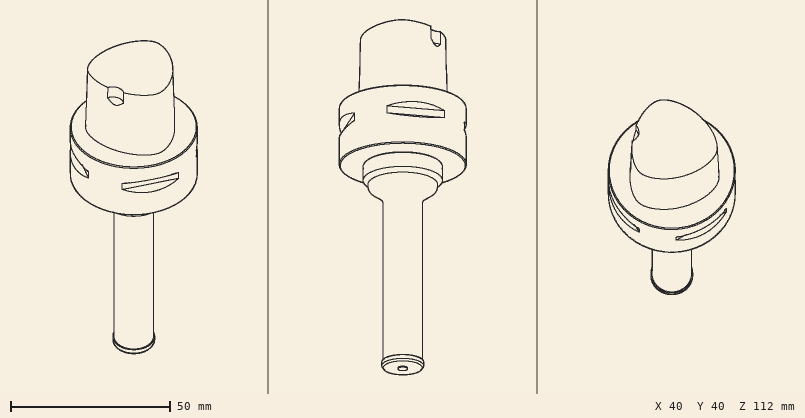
import cadquery as cq
import math

total_height = 112.0
flange_top = 88.0
flange_bottom = 68.4
taper_start = 90.7

shank_base_radius = 14.0
shank_top_radius = 13.4
lobe_height = 1.1
outline_points = 48

notch_radius = 3.5
notch_depth_y = -10.8
notch_floor = 107.9
notch_axis_y = notch_depth_y - notch_radius

flange_radius = 40.0 / 2
flange_chamfer = 0.3
slot_count = 4
slot_floor_distance = 17.7
slot_floor_height = 2.4
slot_flare_angle = 30.0
slot_center = 80.0
slot_length = 2 * flange_radius

collar_radius = 25.0 / 2
collar_bottom = 63.0
collar_chamfer = 0.3
neck_radius = 22.0 / 2
neck_top = 62.0
neck_bottom = 61.4
shoulder_radius = 1.7
fillet_radius = 3.4
cone_angle = 55.0
shaft_radius = 12.4 / 2
tip_radius = 6.6
tip_top = 2.4
tip_chamfer_top = 1.0
tip_bottom = 0.3
tip_chamfer = 0.5
nub_radius = 3.1 / 2


def lobed_outline(mean_radius, height):
    """Closed three-lobed curve with one lobe pointing along +Y."""

    def point(index):
        angle = 2 * math.pi * index / outline_points
        across = (mean_radius * math.sin(angle)
                  - 2 * lobe_height * math.sin(2 * angle) - lobe_height * math.sin(4 * angle))
        along = (mean_radius * math.cos(angle)
                 + 2 * lobe_height * math.cos(2 * angle) - lobe_height * math.cos(4 * angle))
        return across, along

    points = [point(index) for index in range(outline_points)]
    return cq.Workplane("XY", origin=(0, 0, height)).spline(points, periodic=True).close()


def make_shank():
    """Straight lobed foot with a tapered lobed shank above it."""
    foot = lobed_outline(shank_base_radius, flange_top).extrude(taper_start - flange_top)
    lower_wire = lobed_outline(shank_base_radius, taper_start).val()
    upper_wire = lobed_outline(shank_top_radius, total_height).val()
    taper = cq.Workplane(cq.Solid.makeLoft([lower_wire, upper_wire], True))
    return foot.union(taper)


def make_notch():
    """Cutter for the notch: a cylinder ending in a 45 degree cone."""
    return (
        cq.Workplane("XZ", origin=(0, notch_axis_y, 0))
        .moveTo(0, notch_floor - notch_radius)
        .lineTo(notch_radius, notch_floor)
        .lineTo(notch_radius, total_height)
        .lineTo(0, total_height)
        .close()
        .revolve(360, (0, 0, 0), (0, 1, 0))
    )


def make_slot(angle):
    """Cutter for one gripper slot, flaring outward from its flat floor."""
    depth = flange_radius - slot_floor_distance
    floor_half = slot_floor_height / 2
    mouth_half = floor_half + depth * math.tan(math.radians(slot_flare_angle))
    return (
        cq.Workplane("XZ")
        .moveTo(slot_floor_distance, slot_center - floor_half)
        .lineTo(flange_radius, slot_center - mouth_half)
        .lineTo(flange_radius, slot_center + mouth_half)
        .lineTo(slot_floor_distance, slot_center + floor_half)
        .close()
        .extrude(slot_length / 2, both=True)
        .rotate((0, 0, 0), (0, 0, 1), angle)
    )


def make_holder():
    """Flange with gripper slots, carrying the notched shank."""
    flange = (
        cq.Workplane("XY", origin=(0, 0, flange_bottom))
        .circle(flange_radius)
        .extrude(flange_top - flange_bottom)
        .faces("<Z or >Z")
        .edges()
        .chamfer(flange_chamfer)
    )
    slot_pitch = 360 / slot_count
    for index in range(slot_count):
        flange = flange.cut(make_slot((index + 0.5) * slot_pitch))
    return flange.union(make_shank()).cut(make_notch())


def make_arbor():
    """Turned collar, neck, shaft and tip, seated against the flange."""
    angle = math.radians(cone_angle)
    cone_top_radius = neck_radius - shoulder_radius * (1 - math.cos(angle))
    cone_top = neck_bottom - shoulder_radius * math.sin(angle)
    cone_bottom_radius = shaft_radius + fillet_radius * (1 - math.cos(angle))
    cone_bottom = cone_top - (cone_top_radius - cone_bottom_radius) / math.tan(angle)
    shaft_top = cone_bottom - fillet_radius * math.sin(angle)
    return (
        cq.Workplane("XZ")
        .moveTo(0, flange_bottom)
        .lineTo(collar_radius - collar_chamfer, flange_bottom)
        .lineTo(collar_radius, flange_bottom - collar_chamfer)
        .lineTo(collar_radius, collar_bottom + collar_chamfer)
        .lineTo(collar_radius - collar_chamfer, collar_bottom)
        .lineTo(neck_radius, neck_top)
        .lineTo(neck_radius, neck_bottom)
        .tangentArcPoint((cone_top_radius, cone_top), relative=False)
        .lineTo(cone_bottom_radius, cone_bottom)
        .tangentArcPoint((shaft_radius, shaft_top), relative=False)
        .lineTo(shaft_radius, tip_top)
        .lineTo(tip_radius, tip_top)
        .lineTo(tip_radius, tip_chamfer_top)
        .lineTo(tip_radius - tip_chamfer, tip_bottom)
        .lineTo(nub_radius, tip_bottom)
        .lineTo(nub_radius, 0)
        .lineTo(0, 0)
        .close()
        .revolve(360, (0, 0, 0), (0, 1, 0))
    )


holder = make_holder()
arbor = make_arbor()

result = cq.Compound.makeCompound([holder.val(), arbor.val()])